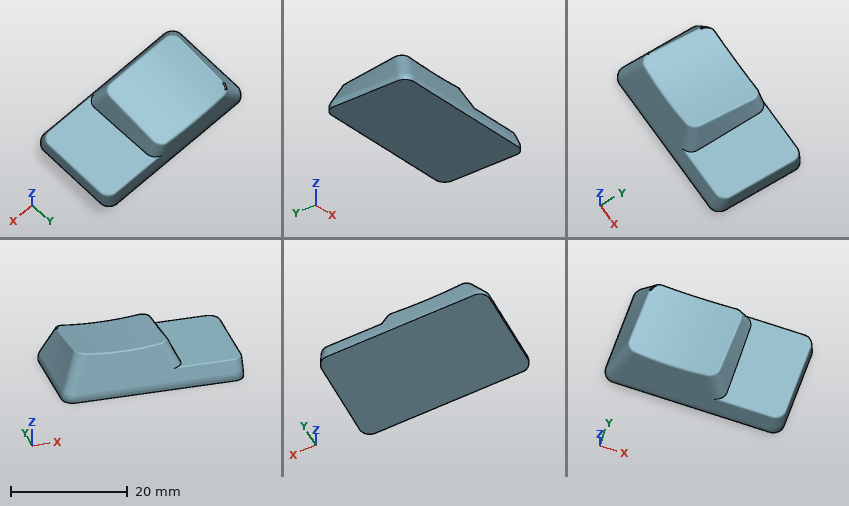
import cadquery as cq
import math


LENGTH = 32.45
WIDTH = 18.16
CORNER_RADIUS = 2.0
SKIRT_HEIGHT = 0.6

BAND_TOP = 1.33
BAND_MIDDLE = (SKIRT_HEIGHT + BAND_TOP) / 2

SHELF_HEIGHT = 3.5
SHELF_EDGE_RADIUS = 0.34

TOWER_FOOT_LENGTH = 22.9
RIM_LENGTH = 16.4
RIM_CORNER_RADIUS = 1.9
RIM_FRONT_INSET = 3.5
RIM_FRONT_HEIGHT = 7.86
RIM_BACK_INSET = 0.42
RIM_BACK_HEIGHT = 6.0
RIM_EDGE_RADIUS = 0.35

DISH_RADIUS = 58.0
DISH_DEPTH = 0.77

LEFT = -LENGTH / 2
RIGHT = LENGTH / 2
FRONT = -WIDTH / 2
BACK = WIDTH / 2
TOWER_X = LEFT + TOWER_FOOT_LENGTH / 2

RIM_FRONT = FRONT + RIM_FRONT_INSET
RIM_BACK = BACK - RIM_BACK_INSET
RIM_RUN = RIM_BACK - RIM_FRONT
RIM_DROP = RIM_FRONT_HEIGHT - RIM_BACK_HEIGHT
RIM_WIDTH = math.hypot(RIM_RUN, RIM_DROP)
RIM_MIDDLE_HEIGHT = (RIM_FRONT_HEIGHT + RIM_BACK_HEIGHT) / 2
RIM_PLANE = cq.Plane(
    origin=(TOWER_X, (RIM_FRONT + RIM_BACK) / 2, RIM_MIDDLE_HEIGHT),
    xDir=(1, 0, 0),
    normal=(0, RIM_DROP, RIM_RUN),
)

SIDE_LEAN = (TOWER_FOOT_LENGTH - RIM_LENGTH) / 2 / (RIM_MIDDLE_HEIGHT - BAND_MIDDLE)
FRONT_LEAN = RIM_FRONT_INSET / (RIM_FRONT_HEIGHT - BAND_MIDDLE)
BACK_LEAN = RIM_BACK_INSET / (RIM_BACK_HEIGHT - BAND_MIDDLE)


def inset_reach(height):
    """Height over which a wall has leaned in; multiply by its lean to get the inset."""
    if height < BAND_TOP:
        return (height - SKIRT_HEIGHT) ** 2 / (2 * (BAND_TOP - SKIRT_HEIGHT))
    return height - BAND_MIDDLE


def rounded_outline(plane, length, width, radius):
    rectangle = cq.Workplane(plane).rect(length, width).val()
    return rectangle.fillet2D(radius, rectangle.Vertices())


def level_outline(left, right, height):
    """Rounded outline at a height, between two X limits and the front and back walls."""
    front = FRONT + FRONT_LEAN * inset_reach(height)
    back = BACK - BACK_LEAN * inset_reach(height)
    plane = cq.Plane(origin=((left + right) / 2, (front + back) / 2, height))
    return rounded_outline(plane, right - left, back - front, CORNER_RADIUS)


def make_skirt():
    return cq.Workplane().rect(LENGTH, WIDTH).extrude(SKIRT_HEIGHT).edges("|Z").fillet(CORNER_RADIUS)


def make_band():
    sections = []
    for height in (SKIRT_HEIGHT, BAND_MIDDLE, BAND_TOP):
        left = LEFT + SIDE_LEAN * inset_reach(height)
        sections.append(level_outline(left, RIGHT, height))
    return cq.Workplane(cq.Solid.makeLoft(sections))


def make_shelf():
    lower = level_outline(TOWER_X, RIGHT, BAND_TOP)
    upper = level_outline(TOWER_X, RIGHT, SHELF_HEIGHT)
    shelf = cq.Workplane(cq.Solid.makeLoft([lower, upper], True))
    return shelf.faces(">Z").edges().fillet(SHELF_EDGE_RADIUS)


def make_dish_cutter():
    axis_plane = cq.Plane(
        origin=RIM_PLANE.toWorldCoords((0, 0, DISH_RADIUS - DISH_DEPTH)),
        xDir=(1, 0, 0),
        normal=RIM_PLANE.yDir,
    )
    return cq.Workplane(axis_plane).circle(DISH_RADIUS).extrude(WIDTH, both=True)


def make_tower():
    side_inset = SIDE_LEAN * inset_reach(BAND_TOP)
    lower = level_outline(LEFT + side_inset, LEFT + TOWER_FOOT_LENGTH - side_inset, BAND_TOP)
    upper = rounded_outline(RIM_PLANE, RIM_LENGTH, RIM_WIDTH, RIM_CORNER_RADIUS)
    tower = cq.Workplane(cq.Solid.makeLoft([lower, upper], True)).cut(make_dish_cutter())
    dish_face = cq.selectors.NearestToPointSelector(RIM_PLANE.origin.toTuple())
    return tower.faces(dish_face).edges().fillet(RIM_EDGE_RADIUS)


result = make_skirt().union(make_band()).union(make_shelf()).union(make_tower()).clean()